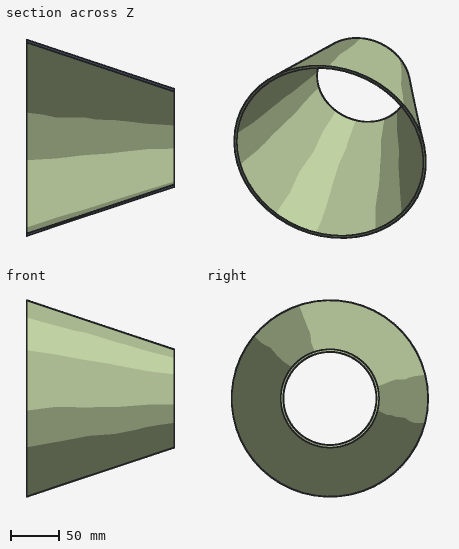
import cadquery as cq

length = 152.5
large_diameter = 203.2
small_diameter = large_diameter / 2
wall = 2.8


def cone_frustum(start_diameter, end_diameter):
    """Solid frustum along +X, with its start face on the YZ plane."""
    return (
        cq.Workplane("YZ")
        .circle(start_diameter / 2)
        .workplane(offset=length)
        .circle(end_diameter / 2)
        .loft(ruled=True)
    )


outer_cone = cone_frustum(large_diameter, small_diameter)
tapered_bore = cone_frustum(large_diameter - 2 * wall, small_diameter - 2 * wall)

result = outer_cone.cut(tapered_bore)